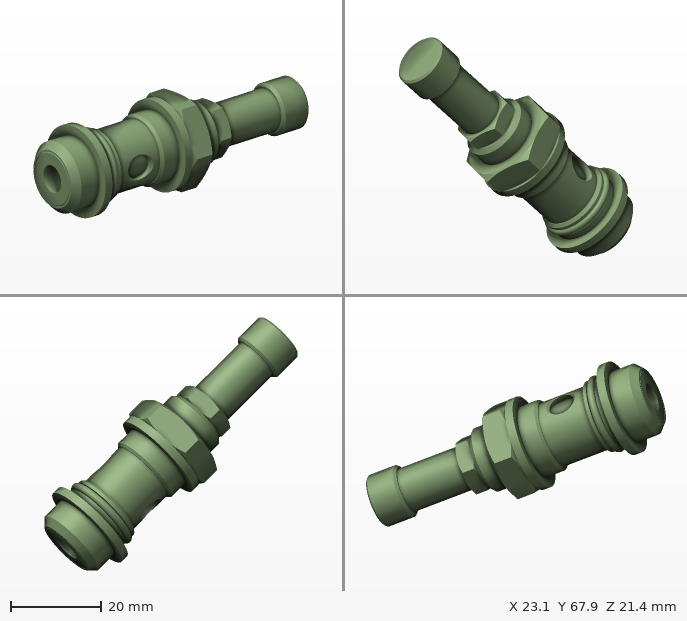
import cadquery as cq
import math

REAR_Y = 33.95
NOSE_Y = -33.95

COLLAR_REAR_Y = 7.95
NUT_REAR_Y = 3.05
NUT_FRONT_Y = -2.85
REAR_LAND_FRONT_Y = -9.5
NECK_FRONT_Y = -20.4
GROOVE_REAR_Y = -21.7
FRONT_FLANGE_REAR_Y = -25.45

FLANGE_THICKNESS = 1.9
GROOVE_WIDTH = 2.05

LAND_RADIUS = 8.35
NECK_RADIUS = 15.0 / 2
FLANGE_RADIUS = 21.4 / 2
GROOVE_RADIUS = 7.4
SEAL_OUTER_RADIUS = 8.95
SEAL_SECTION_RADIUS = 0.9
NUT_CORNER_DIAMETER = 23.1
BORE_RADIUS = 6.25
NOSE_CHAMFER = 1.6
COLLAR_CHAMFER = 0.95
LAND_CHAMFER = 0.6

PORT_RADIUS = 3.0
PORT_Y = (REAR_LAND_FRONT_Y + NECK_FRONT_Y) / 2

STEM_EDGE_CHAMFER = 0.2
STEM_HOLE_RADIUS = 3.2
STEM_HOLE_DEPTH = 10.2
STEM_HEX_CORNER_DIAMETER = 13.85
STEM_HEX_REAR_Y = 11.75
ROD_RADIUS = 5.1
HEAD_RADIUS = 6.1
HEAD_FRONT_Y = 26.55
HEAD_REAR_CHAMFER = 0.5
HEAD_FRONT_CHAMFER = 0.6

HEX_CHAMFER_ANGLE = 30.0


def cylinder(radius, rear_y, front_y):
    """Round bar on the Y axis between two stations."""
    return cq.Workplane("XZ", origin=(0, rear_y, 0)).circle(radius).extrude(rear_y - front_y)


def hexagon(corner_diameter, rear_y, front_y):
    """Hexagonal prism on the Y axis, corners on X, with both ends turned to a cone."""
    corner_radius = corner_diameter / 2
    flat_radius = corner_radius * math.cos(math.pi / 6)
    cone_length = (corner_radius - flat_radius) * math.tan(math.radians(HEX_CHAMFER_ANGLE))
    prism = (
        cq.Workplane("XZ", origin=(0, rear_y, 0))
        .polygon(6, corner_diameter)
        .extrude(rear_y - front_y)
    )
    turned_blank = (
        cq.Workplane("XY")
        .moveTo(0, rear_y)
        .lineTo(flat_radius, rear_y)
        .lineTo(corner_radius, rear_y - cone_length)
        .lineTo(corner_radius, front_y + cone_length)
        .lineTo(flat_radius, front_y)
        .lineTo(0, front_y)
        .close()
        .revolve(360, (0, 0, 0), (0, 1, 0))
    )
    return prism.intersect(turned_blank)


def seal_ring():
    """Round seal bead seated in the middle of its groove."""
    ring_radius = SEAL_OUTER_RADIUS - SEAL_SECTION_RADIUS
    ring_y = GROOVE_REAR_Y - GROOVE_WIDTH / 2
    return (
        cq.Workplane("XY")
        .center(ring_radius, ring_y)
        .circle(SEAL_SECTION_RADIUS)
        .revolve(360, (-ring_radius, 0, 0), (-ring_radius, 1, 0))
    )


def port_cutter(side):
    """Port drill on the -X or +X side (side = -1 or 1), with a 45 degree countersink.

    The countersink starts where the port meets the neck at the port's widest line.
    """
    cone_start = math.sqrt(NECK_RADIUS**2 - PORT_RADIUS**2)
    cone_end = LAND_RADIUS
    mouth_radius = PORT_RADIUS + cone_end - cone_start
    return (
        cq.Workplane("XY")
        .moveTo(0, PORT_Y)
        .lineTo(0, PORT_Y + PORT_RADIUS)
        .lineTo(side * cone_start, PORT_Y + PORT_RADIUS)
        .lineTo(side * cone_end, PORT_Y + mouth_radius)
        .lineTo(side * cone_end, PORT_Y)
        .close()
        .revolve(360, (0, PORT_Y, 0), (1, PORT_Y, 0))
    )


def make_housing():
    """Sleeve with collar, hexagon, two flanges, necked middle, seal bead and chamfered nose."""
    groove_front_y = GROOVE_REAR_Y - GROOVE_WIDTH

    collar = cylinder(NECK_RADIUS, COLLAR_REAR_Y, NUT_FRONT_Y).faces(">Y").chamfer(COLLAR_CHAMFER)
    rear_land = cylinder(LAND_RADIUS, NUT_FRONT_Y, REAR_LAND_FRONT_Y).faces("<Y").chamfer(LAND_CHAMFER)
    neck = cylinder(NECK_RADIUS, REAR_LAND_FRONT_Y, NECK_FRONT_Y)
    seal_land = cylinder(LAND_RADIUS, NECK_FRONT_Y, GROOVE_REAR_Y).faces(">Y").chamfer(LAND_CHAMFER)
    groove_floor = cylinder(GROOVE_RADIUS, GROOVE_REAR_Y, groove_front_y)
    nose = cylinder(LAND_RADIUS, groove_front_y, NOSE_Y).faces("<Y").chamfer(NOSE_CHAMFER)

    body = collar.union(hexagon(NUT_CORNER_DIAMETER, NUT_REAR_Y, NUT_FRONT_Y))
    for section in (rear_land, neck, seal_land, groove_floor, nose, seal_ring()):
        body = body.union(section)
    for flange_rear_y in (NUT_FRONT_Y, FRONT_FLANGE_REAR_Y):
        body = body.union(cylinder(FLANGE_RADIUS, flange_rear_y, flange_rear_y - FLANGE_THICKNESS))

    body = body.cut(cylinder(BORE_RADIUS, COLLAR_REAR_Y, NOSE_Y))
    for side in (-1, 1):
        body = body.cut(port_cutter(side))
    return body


def make_stem():
    """Stem filling the housing bore, with a blind nose hole, hexagon, rod and chamfered head."""
    spool = cylinder(BORE_RADIUS, COLLAR_REAR_Y, NOSE_Y).faces("<Y").chamfer(STEM_EDGE_CHAMFER)
    stem_hex = hexagon(STEM_HEX_CORNER_DIAMETER, STEM_HEX_REAR_Y, COLLAR_REAR_Y)
    rod = cylinder(ROD_RADIUS, HEAD_FRONT_Y, STEM_HEX_REAR_Y)
    head = (
        cylinder(HEAD_RADIUS, REAR_Y, HEAD_FRONT_Y)
        .faces(">Y").chamfer(HEAD_REAR_CHAMFER)
        .faces("<Y").chamfer(HEAD_FRONT_CHAMFER)
    )
    stem_hole = cylinder(STEM_HOLE_RADIUS, NOSE_Y + STEM_HOLE_DEPTH, NOSE_Y)
    return spool.union(stem_hex).union(rod).union(head).cut(stem_hole)


housing = make_housing()
stem = make_stem()

result = cq.Compound.makeCompound([housing.solids().val(), stem.solids().val()])